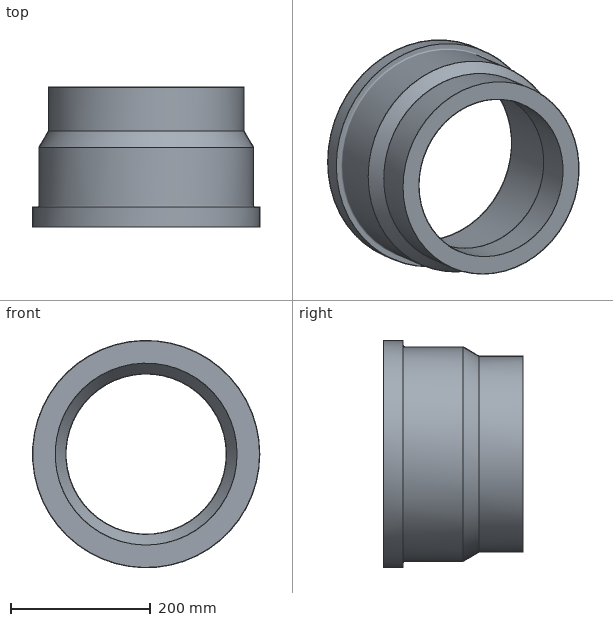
import cadquery as cq

total_length = 200.0

collar_radius = 325.0 / 2
body_radius = 307.0 / 2
spigot_radius = 280.0 / 2
collar_length = 28.5
collar_fillet = 2.0
outer_cone_start = 114.0

wide_bore_radius = 260.0 / 2
narrow_bore_radius = 229.0 / 2
bore_cone_start = 112.0

cone_end = 137.0


def revolve_about_y(profile):
    """Turn a closed XY profile one full revolution around the Y axis."""
    return profile.revolve(360, (0, 0, 0), (0, 1, 0))


def make_outside():
    """Solid body with collar, root fillet, cylindrical body, cone and spigot."""
    profile = (
        cq.Workplane("XY")
        .lineTo(collar_radius, 0)
        .lineTo(collar_radius, collar_length)
        .lineTo(body_radius + collar_fillet, collar_length)
        .radiusArc((body_radius, collar_length + collar_fillet), collar_fillet)
        .lineTo(body_radius, outer_cone_start)
        .lineTo(spigot_radius, cone_end)
        .lineTo(spigot_radius, total_length)
        .lineTo(0, total_length)
        .close()
    )
    return revolve_about_y(profile)


def make_bore():
    """Through bore that narrows along a cone towards the spigot."""
    profile = (
        cq.Workplane("XY")
        .lineTo(wide_bore_radius, 0)
        .lineTo(wide_bore_radius, bore_cone_start)
        .lineTo(narrow_bore_radius, cone_end)
        .lineTo(narrow_bore_radius, total_length)
        .lineTo(0, total_length)
        .close()
    )
    return revolve_about_y(profile)


result = make_outside().cut(make_bore())